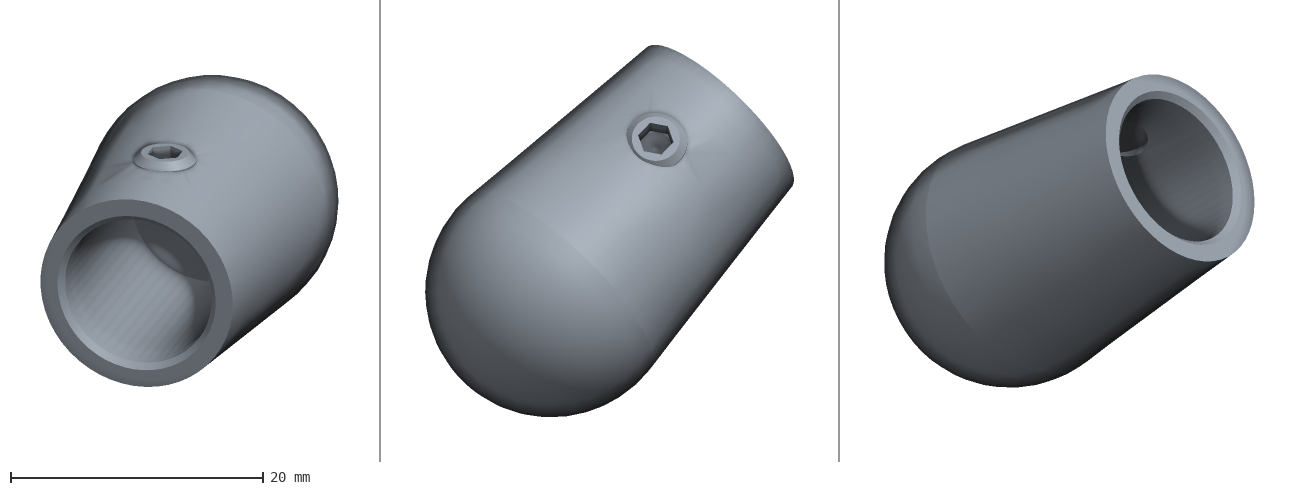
import cadquery as cq
import math


total_length = 29.97
dome_radius = 9.995
dome_center_y = total_length - dome_radius
seam_y = 19.0
seam_radius = math.sqrt(dome_radius**2 - (dome_center_y - seam_y) ** 2)
mouth_radius = 8.0

bore_radius = 12.2 / 2
bore_depth = 17.98
bore_cone_half_angle = 78.0
bore_cone_height = bore_radius / math.tan(math.radians(bore_cone_half_angle))
mouth_chamfer = 0.48

screw_y = 7.5
screw_radius = 5.0 / 2
screw_top_z = 9.1
screw_length = 3.0
screw_bottom_z = screw_top_z - screw_length
screw_chamfer = 0.6
screw_shoulder_z = screw_top_z - screw_chamfer
screw_mouth_radius = 4.2 / 2

socket_across_flats = 2.5
socket_depth = 1.65
socket_corner_diameter = socket_across_flats / math.cos(math.radians(30))
socket_cone_half_angle = 60.0
socket_cone_radius = socket_across_flats / 2
socket_cone_height = socket_cone_radius / math.tan(math.radians(socket_cone_half_angle))


def revolve_about_y(profile):
    return profile.close().revolve(360, (0, 0, 0), (0, 1, 0))


def make_outer_shape():
    """Spherical dome running into a conical sleeve."""
    dome_middle = (
        dome_radius * math.cos(math.radians(45)),
        dome_center_y + dome_radius * math.sin(math.radians(45)),
    )
    profile = (
        cq.Workplane("XY")
        .moveTo(0, 0)
        .lineTo(mouth_radius, 0)
        .lineTo(seam_radius, seam_y)
        .threePointArc(dome_middle, (0, total_length))
    )
    return revolve_about_y(profile)


def make_bore():
    """Bore with its mouth chamfer and conical end."""
    profile = (
        cq.Workplane("XY")
        .moveTo(0, 0)
        .lineTo(bore_radius + mouth_chamfer, 0)
        .lineTo(bore_radius, mouth_chamfer)
        .lineTo(bore_radius, bore_depth)
        .lineTo(0, bore_depth + bore_cone_height)
    )
    return revolve_about_y(profile)


def make_screw_hole():
    """Radial hole from the knob axis that fits the screw and narrows to a smaller mouth above its chamfer."""
    shank_hole = cq.Workplane("XY").center(0, screw_y).circle(screw_radius).extrude(screw_shoulder_z)
    mouth = cq.Workplane("XY").center(0, screw_y).circle(screw_mouth_radius).extrude(dome_radius)
    return shank_hole.union(mouth).union(make_screw_blank())


def make_screw_blank():
    """Screw without its socket."""
    return (
        cq.Workplane("XY", origin=(0, screw_y, screw_bottom_z))
        .circle(screw_radius)
        .extrude(screw_length)
        .faces(">Z")
        .chamfer(screw_chamfer)
    )


def make_socket():
    """Hexagonal recess with flats facing +X and -X, ending in a shallow cone."""
    socket_floor_z = screw_top_z - socket_depth
    hexagon = (
        cq.Workplane("XY", origin=(0, screw_y, socket_floor_z))
        .transformed(rotate=(0, 0, 30))
        .polygon(6, socket_corner_diameter)
        .extrude(socket_depth)
    )
    cone = cq.Workplane(
        cq.Solid.makeCone(
            socket_cone_radius,
            0,
            socket_cone_height,
            pnt=cq.Vector(0, screw_y, socket_floor_z),
            dir=cq.Vector(0, 0, -1),
        )
    )
    return hexagon.union(cone)


def make_knob():
    return make_outer_shape().cut(make_bore()).cut(make_screw_hole())


def make_set_screw():
    return make_screw_blank().cut(make_socket())


knob = make_knob()
set_screw = make_set_screw()

result = cq.Compound.makeCompound([knob.val(), set_screw.val()])